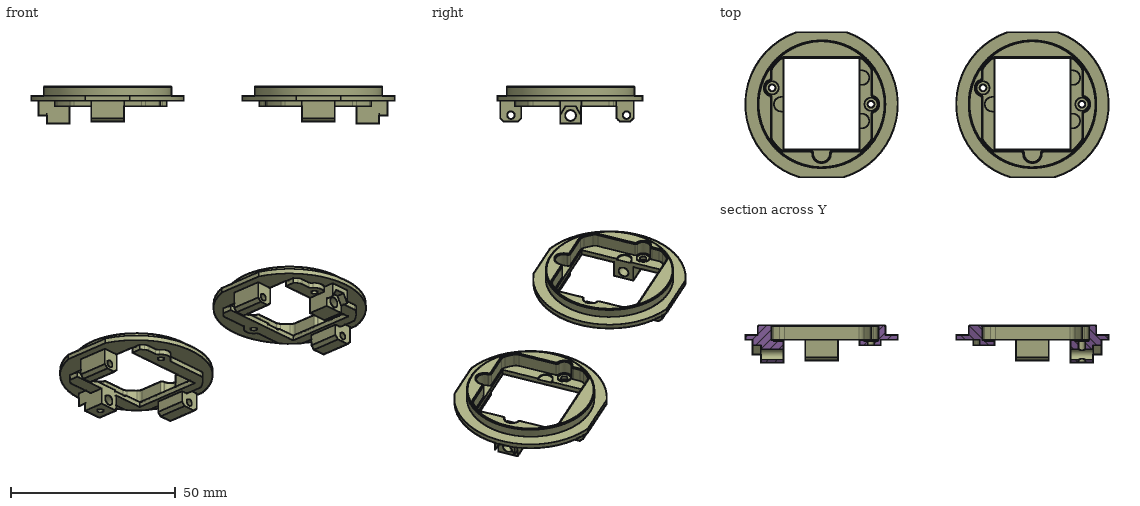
import cadquery as cq

ring_spacing = 64.0

flange_radius = 23.2
flange_thickness = 1.5
flat_back = 21.9
flat_front = 22.2

collar_radius = 19.4
collar_height = 3.0
edge_chamfer = 0.3

pocket_half_width = 15.1
pocket_back = 14.0
pocket_front = -14.1
pocket_radius = 18.5
pocket_corner_fillet = 2.2
recess_fillet = 0.8

window_half_width = 11.5
window_back = 13.9
window_front = -13.7

plate_thickness = 1.7
plate_half_width = 16.0
plate_front = -17.0
plate_radius = 20.2
plate_corner_fillet = 2.2
pad_fillet = 1.3

screw_places = [(15.0, 0.0), (-15.0, 5.0)]
screw_hole_diameter = 2.0
screw_seat_diameter = 4.0
recess_depth = 0.3
screw_clearance_radius = 2.2
screw_pad_radius = 3.0
relief_radius = 2.5
relief_y = -15.0

notch_width = 4.4
notch_reach = 3.0
right_notch_places = [8.1, -5.1]
left_notch_place = 0.0

end_lug_width = 10.0
end_lug_depth = 6.3
end_lug_chamfer = 1.1
end_lug_hole_diameter = 2.2
end_lug_hole_z = -4.3
back_lug = (window_back, 19.2)
back_lug_hole_y = 17.0
front_lug = (-21.4, -14.9)
front_lug_hole_y = -18.1

side_lug_width = 6.4
side_lug_depth = 6.8
side_lug_reach = 21.0
side_lug_hole_diameter = 3.2
side_lug_hole_z = -4.4
nut_trap_depth = 2.5
nut_trap_half_height = 2.8
nut_trap_top_width = 3.2

edge_tolerance = 0.1

collar_top = flange_thickness + collar_height


def block(x_range, y_range, z_range):
    """Box between two limits on each axis."""
    low, high = zip(x_range, y_range, z_range)
    size = [b - a for a, b in zip(low, high)]
    return cq.Workplane("XY").box(*size, centered=False).translate(low)


def disc(radius, bottom, top):
    """Upright cylinder on the ring axis."""
    return cq.Workplane("XY").workplane(offset=bottom).circle(radius).extrude(top - bottom)


def slot(end, direction, radius, length, bottom, top):
    """Upright round-ended slot whose last arc centre is `end`, running back along X or Y."""
    x, y = end
    middle = (x - direction[0] * length / 2, y - direction[1] * length / 2)
    angle = 90 if direction[0] == 0 else 0
    return (
        cq.Workplane("XY").workplane(offset=bottom).center(*middle)
        .slot2D(length + 2 * radius, 2 * radius, angle).extrude(top - bottom)
    )


def side_of(x):
    """1 for a place on the +X side, -1 for one on the -X side."""
    return 1 if x > 0 else -1


def is_beside_screw(edge):
    """True for upright edges where a screw's rounded outline leaves a straight side."""
    return any(abs(edge.Center().y - y) <= screw_pad_radius + edge_tolerance for _, y in screw_places)


def flange_and_collar():
    """Flange with two flats, and the round collar on it, with the pocket cut through both."""
    flange = disc(flange_radius, 0, flange_thickness).intersect(
        block((-flange_radius, flange_radius), (-flat_front, flat_back), (0, flange_thickness))
    )
    collar = disc(collar_radius, flange_thickness, collar_top)
    body = flange.union(collar).cut(pocket())
    return body.faces(">Z").chamfer(edge_chamfer)


def is_relief_mouth(edge):
    """True for the two upright edges where the relief leaves the -Y wall of the pocket."""
    middle = edge.Center()
    return abs(middle.x) < relief_radius + edge_tolerance and abs(middle.y - pocket_front) < edge_tolerance


def pocket():
    """Opening through flange and collar, with room for the screw heads and the relief."""
    room = block(
        (-pocket_half_width, pocket_half_width),
        (pocket_front, pocket_back),
        (0, collar_top),
    ).intersect(disc(pocket_radius, 0, collar_top))
    room = room.edges("|Z").fillet(pocket_corner_fillet)
    for x, y in screw_places:
        room = room.union(
            slot((x, y), (side_of(x), 0), screw_clearance_radius, abs(x), 0, collar_top)
        )
    room = room.union(slot((0, relief_y), (0, -1), relief_radius, abs(relief_y), 0, collar_top))
    room = room.edges("|Z").filter(is_beside_screw).fillet(recess_fillet)
    return room.edges("|Z").filter(is_relief_mouth).fillet(recess_fillet)


def floor_plate():
    """Plate under the flange that makes the pocket floor, open at the window."""
    plate = block(
        (-plate_half_width, plate_half_width), (plate_front, window_back), (-plate_thickness, 0)
    ).intersect(disc(plate_radius, -plate_thickness, 0))
    plate = plate.edges("|Z and (not >Y)").fillet(plate_corner_fillet)
    for x, y in screw_places:
        plate = plate.union(slot((x, y), (side_of(x), 0), screw_pad_radius, abs(x), -plate_thickness, 0))
    plate = plate.edges("|Z").filter(is_beside_screw).fillet(pad_fillet)
    return plate.cut(
        block(
            (-window_half_width, window_half_width), (window_front, window_back), (-plate_thickness, 0)
        )
    )


def end_lug(y_range, hole_y):
    """Lug at the +Y or -Y end, drilled along X, with its two lower corners chamfered."""
    half = end_lug_width / 2
    hole = (
        cq.Workplane("YZ").center(hole_y, end_lug_hole_z)
        .circle(end_lug_hole_diameter / 2).extrude(half, both=True)
    )
    lug = block((-half, half), y_range, (-end_lug_depth, 0))
    return lug.faces("<Z").edges("|X").chamfer(end_lug_chamfer).cut(hole)


def side_lug(side):
    """Lug at the +X or -X side, drilled along X, with a nut trap open to the outside and below."""
    half = side_lug_width / 2
    lug = block((window_half_width, side_lug_reach), (-half, half), (-side_lug_depth, 0))
    trap_start = cq.Workplane("YZ").workplane(offset=side_lug_reach - nut_trap_depth)
    trap = (
        trap_start.moveTo(-half, -side_lug_depth)
        .lineTo(-half, side_lug_hole_z)
        .lineTo(-nut_trap_top_width / 2, side_lug_hole_z + nut_trap_half_height)
        .lineTo(nut_trap_top_width / 2, side_lug_hole_z + nut_trap_half_height)
        .lineTo(half, side_lug_hole_z)
        .lineTo(half, -side_lug_depth)
        .close().extrude(nut_trap_depth)
    )
    hole = (
        cq.Workplane("YZ").center(0, side_lug_hole_z)
        .circle(side_lug_hole_diameter / 2).extrude(side_lug_reach)
    )
    lug = lug.cut(trap).cut(hole)
    return lug if side > 0 else lug.mirror("YZ")


def floor_notches():
    """Shallow round-ended notches in the pocket floor, open to the window."""
    places = [(1, y) for y in right_notch_places] + [(-1, left_notch_place)]
    radius = notch_width / 2
    notches = cq.Workplane("XY")
    for side, y in places:
        end_x = side * (window_half_width + notch_reach - radius)
        notches = notches.union(slot((end_x, y), (side, 0), radius, notch_reach, -recess_depth, 0))
    return notches


def screw_holes():
    """Screw holes down through everything, each with a shallow seat in the pocket floor."""
    at_screws = cq.Workplane("XY").pushPoints(screw_places)
    holes = at_screws.circle(screw_hole_diameter / 2).extrude(-side_lug_depth)
    return holes.union(at_screws.circle(screw_seat_diameter / 2).extrude(-recess_depth))


def mounting_ring(side):
    """Complete ring whose side lug is at +X for side = 1 and at -X for side = -1."""
    return (
        flange_and_collar()
        .union(floor_plate())
        .union(end_lug(back_lug, back_lug_hole_y))
        .union(end_lug(front_lug, front_lug_hole_y))
        .union(side_lug(side))
        .cut(floor_notches())
        .cut(screw_holes())
    )


rings = [
    mounting_ring(side).translate((side * ring_spacing / 2, 0, 0))
    for side in (-1, 1)
]

result = cq.Compound.makeCompound([ring.val() for ring in rings])